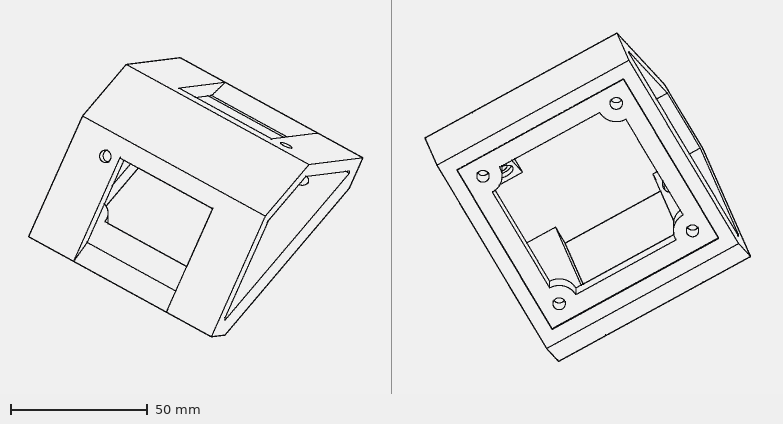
import cadquery as cq
import math

length = 81.0
width = 98.65
height = 44.0
edge_height = 8.9

wall = 5.0
floor_top = 9.3
cavity_half_width = 40.4

window_length = 41.0

opening_size = 56.2
boss_radius = 7.0
hole_diameter = 4.5

recess_size = opening_size + 2 * boss_radius
recess_depth = 1.0

slope_hole_x = 25.9
slope_hole_y = 20.7
slope_hole_depth = 3.3
slope_bore_diameter = 7.9

half_width = width / 2
half_bottom = half_width - edge_height
half_top = half_width - (height - edge_height)
ceiling = height - wall
slope_sum = half_width + edge_height
cavity_sum = slope_sum - wall * math.sqrt(2)
cavity_half_top = cavity_sum - ceiling
cavity_shoulder = cavity_sum - cavity_half_width


def prism(points, prism_length):
    """Extrude a (y, z) outline along X, centred on X = 0."""
    return cq.Workplane("YZ").polyline(points).close().extrude(prism_length / 2, both=True)


def symmetric_prism(right_half, prism_length):
    """Mirror one side of a (y, z) outline about Y = 0 and extrude it."""
    left_half = [(-y, z) for y, z in reversed(right_half)]
    return prism(right_half + left_half, prism_length)


def make_body():
    outer = symmetric_prism(
        [(half_bottom, 0), (half_width, edge_height), (half_top, height)], length
    )
    cavity = symmetric_prism(
        [
            (cavity_half_width, floor_top),
            (cavity_half_width, cavity_shoulder),
            (cavity_half_top, ceiling),
        ],
        length,
    )
    return outer.cut(cavity)


def make_windows():
    """Cut both sloped walls up to the ceiling, leaving a sill that rises inward."""
    return symmetric_prism(
        [
            (cavity_half_width, cavity_shoulder),
            (half_width, edge_height),
            (half_width, ceiling),
        ],
        window_length,
    )


def make_floor_opening():
    opening = cq.Workplane("XY").rect(opening_size, opening_size).extrude(floor_top)
    bosses = (
        cq.Workplane("XY")
        .rect(opening_size, opening_size, forConstruction=True)
        .vertices()
        .circle(boss_radius)
        .extrude(floor_top)
    )
    return opening.cut(bosses)


def make_floor_holes():
    return (
        cq.Workplane("XY")
        .rect(opening_size, opening_size, forConstruction=True)
        .vertices()
        .circle(hole_diameter / 2)
        .extrude(floor_top)
    )


def make_floor_recess():
    return cq.Workplane("XY").rect(recess_size, recess_size).extrude(recess_depth)


def make_slope_hole(side):
    """Hole square to the wall on the +Y (side = 1) or -Y (side = -1) side, bored wider inside."""
    mouth = cq.Vector(side * slope_hole_x, side * slope_hole_y, slope_sum - slope_hole_y)
    inward = cq.Vector(0, -side, -1).normalized()
    hole = cq.Solid.makeCylinder(hole_diameter / 2, wall, mouth, inward)
    bore = cq.Solid.makeCylinder(
        slope_bore_diameter / 2, wall - slope_hole_depth, mouth + inward * slope_hole_depth, inward
    )
    return hole.fuse(bore)


result = make_body().cut(make_windows()).cut(make_floor_opening())
result = result.cut(make_floor_holes()).cut(make_floor_recess())
for side in (-1, 1):
    result = result.cut(make_slope_hole(side))